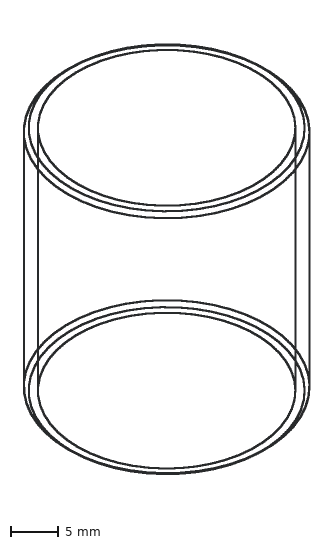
import cadquery as cq

length = 35.0
outer_diameter = 30.3
bore_diameter = 27.3
rim_bevel = 0.52

body = (
    cq.Workplane("XY")
    .circle(outer_diameter / 2)
    .extrude(length)
    .faces("<Z or >Z")
    .edges()
    .chamfer(rim_bevel)
)

bore = cq.Workplane("XY").circle(bore_diameter / 2).extrude(length)

result = body.cut(bore)